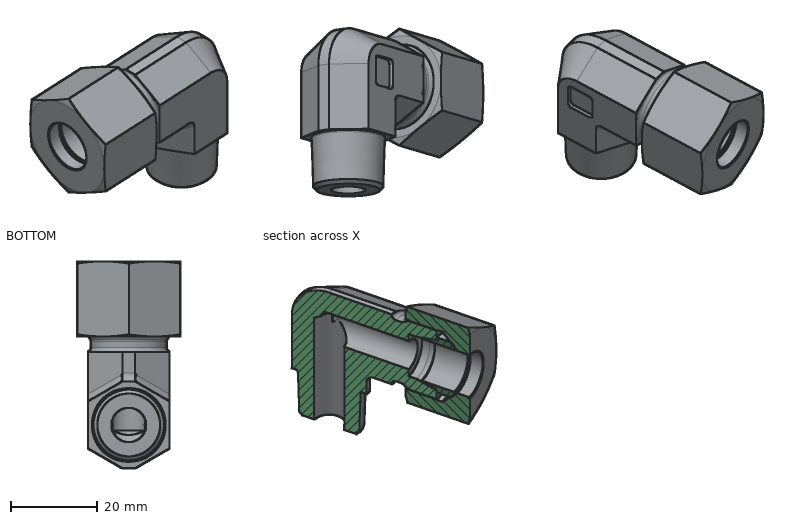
import cadquery as cq
import math


TOLERANCE = 0.005

BODY_WIDTH = 19.0
BODY_REACH = 10.1
INLET_LEG_END = 17.0
STUD_LEG_END = 15.5
NOTCH_RADIUS = 1.9

NECK_DIAMETER = 17.7
NECK_FILLET = 1.0
THREAD_DIAMETER = 20.0
RELIEF_ANGLE = 30.0
RELIEF_END = 19.62
INLET_END = 29.0
TUBE_DIAMETER = 12.0
TUBE_STOP = 21.5
SEAT_DIAMETER = 14.3
SEAT_ANGLE = 12.0

STUD_DIAMETER = 17.1
STUD_TAPER = 1 / 16
STUD_COLLAR = 0.45
STUD_END = 28.0
STUD_CHAMFER = 0.9

BORE_DIAMETER = 8.0
BORE_OVERRUN = 1.3
DRILL_HALF_ANGLE = 59.0

PANEL_SIZE = 7.0
PANEL_CENTRE = -0.95
PANEL_CORNER = 1.0
PANEL_DEPTH = 1.0

NUT_WIDTH = 24.0
NUT_FRONT = 38.0
NUT_BACK = 20.55
NUT_CHAMFER_ANGLE = 15.0
NUT_HOLE_DIAMETER = 12.02
NUT_HOLE_DEPTH = 3.45
NUT_HOLE_CHAMFER = 0.2

RING_DIAMETER = 16.0
RING_FACE_DEPTH = 4.25
RING_NOSE_WALL = 0.3


def tan_degrees(angle):
    return math.tan(math.radians(angle))


def turn(profile):
    """Close a half outline of (radius, height) points and revolve it about its plane's height axis.

    In the XY plane that axis is the inlet (Y); in the XZ plane it is the stud (Z).
    """
    return profile.close().revolve(360, (0, 0, 0), (0, 1, 0))


def leg_half_outline():
    """Corner points of the upper half of a leg: hexagon with its top corner trimmed flat."""
    half_width = BODY_WIDTH / 2
    corner_height = half_width / math.sqrt(3)
    flat_half = (2 * corner_height - BODY_REACH) * math.sqrt(3)
    return [
        (half_width, corner_height),
        (flat_half, BODY_REACH),
        (-flat_half, BODY_REACH),
        (-half_width, corner_height),
    ]


def leg_section(plane):
    upper = leg_half_outline()
    lower = [(-x, -height) for x, height in upper]
    return cq.Workplane(plane).polyline(upper + lower).close()


def make_elbow_blank():
    upper = leg_half_outline()
    half_width = BODY_WIDTH / 2
    inlet_leg = leg_section("XZ").extrude(INLET_LEG_END)
    stud_leg = leg_section("XY").extrude(-STUD_LEG_END)
    corner = (
        cq.Workplane("XZ")
        .polyline([(half_width, 0)] + upper + [(-half_width, 0)])
        .close()
        .revolve(90, (0, 0, 0), (-1, 0, 0))
    )
    return inlet_leg.union(stud_leg).union(corner)


def is_notch_edge(edge):
    """True for the edges where the two legs meet, on the plane y = z below the axes."""
    ends = [edge.startPoint(), edge.endPoint()]
    return all(abs(end.y - end.z) < TOLERANCE and end.y < 0 for end in ends)


def make_neck_flare():
    """Rounded foot of the neck, trimmed to the leg because it is wider than its flats."""
    neck = NECK_DIAMETER / 2
    flare_end = INLET_LEG_END + NECK_FILLET
    sag = NECK_FILLET * (1 - math.cos(math.pi / 4))
    flare = turn(
        cq.Workplane("XY")
        .moveTo(0, -INLET_LEG_END)
        .lineTo(neck + NECK_FILLET, -INLET_LEG_END)
        .threePointArc((neck + sag, -INLET_LEG_END - sag), (neck, -flare_end))
        .lineTo(0, -flare_end)
    )
    return flare.intersect(leg_section("XZ").extrude(flare_end))


def make_neck_and_thread():
    neck = NECK_DIAMETER / 2
    thread = THREAD_DIAMETER / 2
    relief_length = (thread - neck) / tan_degrees(RELIEF_ANGLE)
    tangent = NECK_FILLET * tan_degrees(RELIEF_ANGLE / 2)
    slope = math.radians(RELIEF_ANGLE)
    fillet_end = (neck + tangent * math.sin(slope), -RELIEF_END - tangent * math.cos(slope))
    return turn(
        cq.Workplane("XY")
        .moveTo(0, -INLET_LEG_END)
        .lineTo(neck, -INLET_LEG_END)
        .lineTo(neck, -RELIEF_END + tangent)
        .tangentArcPoint(fillet_end, relative=False)
        .lineTo(thread, -RELIEF_END - relief_length)
        .lineTo(thread, -INLET_END)
        .lineTo(0, -INLET_END)
    )


def make_stud():
    top = STUD_DIAMETER / 2
    taper_start = STUD_LEG_END + STUD_COLLAR
    chamfer_start = STUD_END - STUD_CHAMFER
    bottom = top - (chamfer_start - taper_start) * STUD_TAPER / 2
    return turn(
        cq.Workplane("XZ")
        .moveTo(0, -STUD_LEG_END)
        .lineTo(top, -STUD_LEG_END)
        .lineTo(top, -taper_start)
        .lineTo(bottom, -chamfer_start)
        .lineTo(bottom - STUD_CHAMFER, -STUD_END)
        .lineTo(0, -STUD_END)
    )


def make_bore(plane, depth):
    """Drilled hole that overruns the crossing point and ends in a drill-point cone."""
    radius = BORE_DIAMETER / 2
    return turn(
        cq.Workplane(plane)
        .moveTo(0, -depth)
        .lineTo(radius, -depth)
        .lineTo(radius, BORE_OVERRUN)
        .lineTo(0, BORE_OVERRUN + radius / tan_degrees(DRILL_HALF_ANGLE))
    )


def make_tube_socket():
    tube = TUBE_DIAMETER / 2
    seat = SEAT_DIAMETER / 2
    seat_length = (seat - tube) / tan_degrees(SEAT_ANGLE)
    return turn(
        cq.Workplane("XY")
        .moveTo(0, -TUBE_STOP)
        .lineTo(tube, -TUBE_STOP)
        .lineTo(tube, -INLET_END + seat_length)
        .lineTo(seat, -INLET_END)
        .lineTo(0, -INLET_END)
    )


def make_panel():
    return (
        cq.Workplane("YZ", origin=(-BODY_WIDTH / 2, 0, 0))
        .center(PANEL_CENTRE, PANEL_CENTRE)
        .rect(PANEL_SIZE, PANEL_SIZE)
        .extrude(PANEL_DEPTH)
        .edges("|X")
        .fillet(PANEL_CORNER)
    )


def make_elbow():
    blank = make_elbow_blank()
    inner_corner = [edge for edge in blank.edges().vals() if is_notch_edge(edge)]
    return (
        blank.newObject(inner_corner)
        .fillet(NOTCH_RADIUS)
        .union(make_neck_flare())
        .union(make_neck_and_thread())
        .union(make_stud())
        .cut(make_bore("XY", INLET_END))
        .cut(make_bore("XZ", STUD_END))
        .cut(make_tube_socket())
        .cut(make_panel())
    )


def make_nut():
    length = NUT_FRONT - NUT_BACK
    flat = NUT_WIDTH / 2
    corner = NUT_WIDTH / math.sqrt(3)
    chamfer = (corner - flat) * tan_degrees(NUT_CHAMFER_ANGLE)
    hexagon = (
        cq.Workplane("XZ", origin=(0, -NUT_BACK, 0))
        .polygon(6, 2 * corner)
        .extrude(length)
        .rotate((0, 0, 0), (0, 1, 0), 30)
    )
    envelope = turn(
        cq.Workplane("XY")
        .moveTo(0, -NUT_BACK)
        .lineTo(flat, -NUT_BACK)
        .lineTo(corner, -NUT_BACK - chamfer)
        .lineTo(corner, -NUT_FRONT + chamfer)
        .lineTo(flat, -NUT_FRONT)
        .lineTo(0, -NUT_FRONT)
    )
    hole = NUT_HOLE_DIAMETER / 2
    thread = THREAD_DIAMETER / 2
    cone_start = NUT_FRONT - NUT_HOLE_DEPTH
    passage = turn(
        cq.Workplane("XY")
        .moveTo(0, -NUT_FRONT)
        .lineTo(hole + NUT_HOLE_CHAMFER, -NUT_FRONT)
        .lineTo(hole, -NUT_FRONT + NUT_HOLE_CHAMFER)
        .lineTo(hole, -cone_start)
        .lineTo(thread, -cone_start + thread - hole)
        .lineTo(thread, -NUT_BACK)
        .lineTo(0, -NUT_BACK)
    )
    return hexagon.intersect(envelope).cut(passage)


def make_ring():
    tube = TUBE_DIAMETER / 2
    rim = RING_DIAMETER / 2
    face = NUT_FRONT - RING_FACE_DEPTH
    face_radius = NUT_HOLE_DIAMETER / 2 + RING_FACE_DEPTH - NUT_HOLE_DEPTH
    nose_tip = tube + RING_NOSE_WALL
    nose_length = (SEAT_DIAMETER / 2 - nose_tip) / tan_degrees(SEAT_ANGLE)
    return turn(
        cq.Workplane("XY")
        .moveTo(tube, -face)
        .lineTo(face_radius, -face)
        .lineTo(rim, -face + rim - face_radius)
        .lineTo(rim, -INLET_END)
        .lineTo(SEAT_DIAMETER / 2, -INLET_END)
        .lineTo(nose_tip, -INLET_END + nose_length)
        .lineTo(tube, -INLET_END + nose_length)
    )


elbow = make_elbow()
nut = make_nut()
ring = make_ring()

result = cq.Compound.makeCompound([elbow.val(), nut.val(), ring.val()])